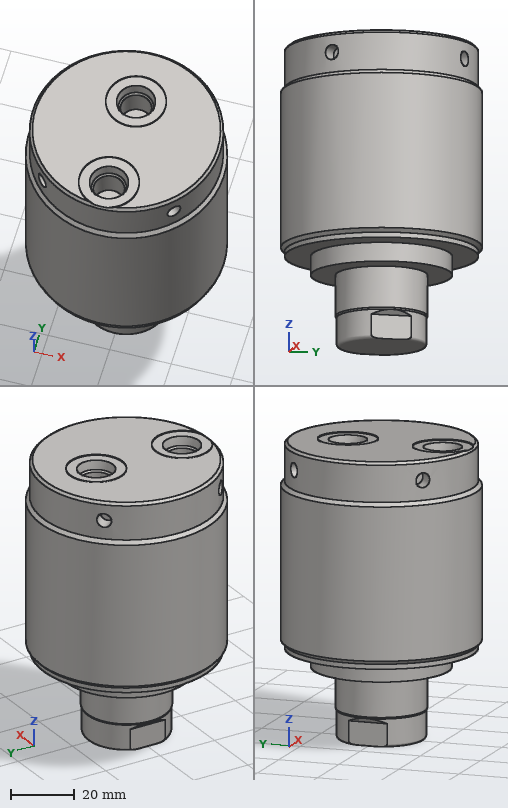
import cadquery as cq
import math

total_height = 95.38
cap_height = 12.85
body_height = 52.05
disc_height = 1.6
flange_height = 6.0
shank_height = 13.15
shank_taper_height = 0.55

cap_bottom = total_height - cap_height
body_bottom = cap_bottom - body_height
disc_bottom = body_bottom - disc_height
flange_bottom = disc_bottom - flange_height
shank_bottom = flange_bottom - shank_height
tip_top = shank_bottom - shank_taper_height

body_radius = 63.25 / 2
cap_radius = 30.4
flange_radius = 22.2
shank_radius = 14.45
tip_radius = 14.15

cap_chamfer = 0.9
body_chamfer = body_radius - cap_radius
tip_fillet = 1.1

flat_offset = 12.6

port_positions = [(0, 11.15), (0, -20.45)]
spotface_radius = 9.5
spotface_depth = 0.3
port_mouth_radius = 6.1
port_throat_radius = 5.5
port_bore_radius = 4.9
port_taper_depth = 3.3
port_bore_start = port_taper_depth + port_throat_radius - port_bore_radius
port_depth = 12.0

spanner_hole_diameter = 4.7
spanner_hole_depth = 5.0
spanner_hole_drop = 6.4
spanner_hole_angles = [45, 135, 225, 315]


def turned_body():
    """Revolve the half-profile of the whole part about Z and round the end of the tip."""
    profile = [
        (0, 0),
        (tip_radius, 0),
        (tip_radius, tip_top),
        (shank_radius, shank_bottom),
        (shank_radius, flange_bottom),
        (flange_radius, flange_bottom),
        (flange_radius, disc_bottom),
        (cap_radius, disc_bottom),
        (cap_radius, body_bottom),
        (body_radius, body_bottom + body_chamfer),
        (body_radius, cap_bottom - body_chamfer),
        (cap_radius, cap_bottom),
        (cap_radius, total_height - cap_chamfer),
        (cap_radius - cap_chamfer, total_height),
        (0, total_height),
    ]
    body = cq.Workplane("XZ").polyline(profile).close().revolve(360, (0, 0), (0, 1))
    return body.faces("<Z").edges().fillet(tip_fillet)


def flat_cutter():
    """Material outside the +X wrench flat, with a 45 degree run-out up to the tip top."""
    run_out = tip_radius - flat_offset
    outline = [
        (flat_offset, 0),
        (tip_radius, 0),
        (tip_radius, tip_top),
        (flat_offset, tip_top - run_out),
    ]
    return cq.Workplane("XZ").polyline(outline).close().extrude(tip_radius, both=True)


def port_cutter(x, y):
    """Spotfaced blind port: tapered mouth, 45 degree step, then a plain bore."""
    profile = [
        (0, 0),
        (spotface_radius, 0),
        (spotface_radius, -spotface_depth),
        (port_mouth_radius, -spotface_depth),
        (port_throat_radius, -port_taper_depth),
        (port_bore_radius, -port_bore_start),
        (port_bore_radius, -port_depth),
        (0, -port_depth),
    ]
    cutter = cq.Workplane("XZ").polyline(profile).close().revolve(360, (0, 0), (0, 1))
    return cutter.translate((x, y, total_height))


def spanner_hole_cutter(angle):
    """Blind radial hole entering the cap at the given angle from +X."""
    angle_rad = math.radians(angle)
    direction = cq.Vector(math.cos(angle_rad), math.sin(angle_rad), 0)
    floor_radius = cap_radius - spanner_hole_depth
    start = direction * floor_radius + cq.Vector(0, 0, total_height - spanner_hole_drop)
    hole = cq.Solid.makeCylinder(spanner_hole_diameter / 2, body_radius - floor_radius, start, direction)
    return cq.Workplane(obj=hole)


result = turned_body()

for flat_angle in (0, 180):
    result = result.cut(flat_cutter().rotate((0, 0, 0), (0, 0, 1), flat_angle))

for port_x, port_y in port_positions:
    result = result.cut(port_cutter(port_x, port_y))

for hole_angle in spanner_hole_angles:
    result = result.cut(spanner_hole_cutter(hole_angle))